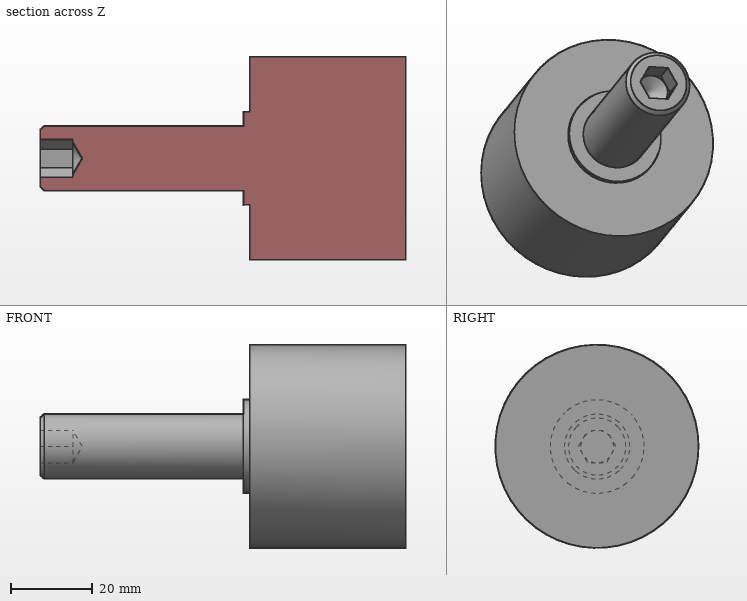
import cadquery as cq
import math

total_length = 90.0
roller_diameter = 50.0
roller_length = 38.4
collar_diameter = 23.0
collar_length = 1.5
shaft_diameter = 16.0
tip_chamfer = 1.0

hex_across_flats = 8.0
socket_depth = 8.0
cone_angle = 120.0

shaft_length = total_length - roller_length - collar_length


def cylinder_along_x(start, diameter, length):
    return cq.Workplane("YZ", origin=(start, 0, 0)).circle(diameter / 2).extrude(length)


def make_shaft():
    shaft = cylinder_along_x(0, shaft_diameter, shaft_length)
    return shaft.faces("<X").chamfer(tip_chamfer)


def make_socket():
    across_corners = hex_across_flats / math.cos(math.radians(30))
    hexagon = cq.Workplane("YZ").polygon(6, across_corners).extrude(socket_depth)
    cone_radius = hex_across_flats / 2
    cone_depth = cone_radius / math.tan(math.radians(cone_angle / 2))
    cone = cq.Solid.makeCone(
        cone_radius,
        0,
        cone_depth,
        pnt=cq.Vector(socket_depth, 0, 0),
        dir=cq.Vector(1, 0, 0),
    )
    return hexagon.union(cq.Workplane(obj=cone))


collar = cylinder_along_x(shaft_length, collar_diameter, collar_length)
roller = cylinder_along_x(shaft_length + collar_length, roller_diameter, roller_length)
result = make_shaft().union(collar).union(roller).cut(make_socket())